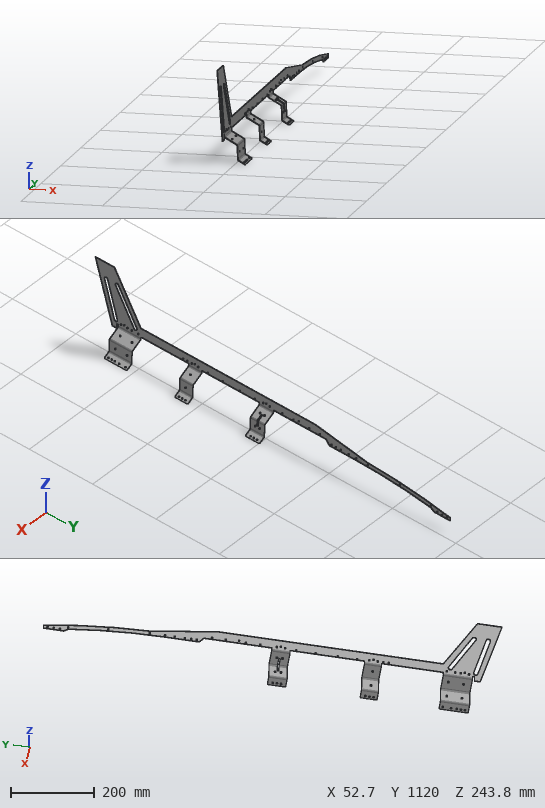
import cadquery as cq
import math


SHEET = 2.0
BEND_INNER_RADIUS = 2.0
BEND_OUTER_RADIUS = BEND_INNER_RADIUS + SHEET

LENGTH = 1120.0
HEIGHT = 243.8
BRACKET_REACH = 52.72
BRACKET_DEPTH = 73.0

RAIL_HEIGHT = 27.0
RAMP_TOP_Y = 694.0
RAMP_ANGLE = math.radians(9.9)
PAD_BOTTOM_Z = -13.9
PAD_REAR_Y = 739.5
PAD_SLOPE_LENGTH = 11.5
NOSE_BAND = 12.4
NOSE_OUTER_RADIUS = 1500.0
NOSE_INNER_RADIUS = NOSE_OUTER_RADIUS - NOSE_BAND
NOSE_CENTRE_Y = 823.0
NOSE_CENTRE_Z = PAD_BOTTOM_Z - NOSE_INNER_RADIUS
NOSE_BOTTOM_Z = -40.5
NOSE_PAD_REAR_Y = 1070.0
NOSE_PAD_SLOPE_LENGTH = 11.0

TAIL_TOP_Z = HEIGHT - BRACKET_DEPTH
TAIL_TOP_WIDTH = 60.0
LEADING_ANGLE = math.radians(30.2)
TRAILING_ANGLE = math.radians(16.2)
FOOT_BOTTOM_Z = -13.5
FOOT_FRONT_Y = 67.8
TAIL_SLOT_WIDTH = 10.0
LEADING_SLOT_ANGLE = math.radians(29.5)
LEADING_SLOT_MID_Y = 97.3
LEADING_SLOT_Z = (17.0, 120.0)
TRAILING_SLOT_ANGLE = math.radians(15.7)
TRAILING_SLOT_MID_Y = 49.1
TRAILING_SLOT_Z = (11.0, 121.0)

UPPER_SLOPE = math.radians(29.5)
MIDDLE_SLOPE = math.radians(87.4)
LOWER_SLOPE = math.radians(30.0)
MIDDLE_LENGTH = 36.7
LOWER_LENGTH = 21.0
BRACKET_CORNER_RADIUS = 3.0
REAR_BRACKET_ROOT_RADIUS = 3.0
STRIP_ROOT_Z = 1.0
FRONT_BRACKET_Y = (517.5, 562.5)
MIDDLE_BRACKET_Y = (294.5, 336.0)
REAR_BRACKET_Y = (72.0, 143.5)
BRACKETS_Y = (FRONT_BRACKET_Y, MIDDLE_BRACKET_Y, REAR_BRACKET_Y)

BOLT_DIAMETER = 3.5
PIN_DIAMETER = 3.0
FLANGE_HOLE_DIAMETER = 4.0
EDGE_HOLE_DIAMETER = 3.0
BOLT_Z = 5.0
RAISED_BOLT_Z = 8.4
EDGE_HOLE_Z = 3.0
PAD_HOLE_Z = -8.4
NOSE_HOLE_Z = -35.4
TRIPLE_SPACING = 10.1
TRIPLE_CENTRES_Y = (540.0, 314.0, 91.0)
REAR_EXTRA_BOLTS_Y = (114.7, 135.0)
RAIL_BOLTS_Y = (708.4, 674.7, 590.4, 290.0, 276.6)
RAIL_PINS_YZ = ((642.2, 8.4), (625.5, 5.0))
EDGE_HOLES_Y = (502.7, 455.4, 401.4, 354.2)
PAD_BOLTS_Y = (860.2, 823.0, 799.5, 759.0, 745.5)
PAD_PIN_Y = 774.5
NOSE_BOLTS_Y = (1109.9, 1079.5)
NOSE_PIN_Y = 1095.0
BAND_BOLT_YZ = (961.5, -15.2)
BAND_PIN_YZ = (1059.3, -27.0)
LOWER_HOLE_FROM_END = 6.0
MIDDLE_HOLE_FROM_BEND = 18.8
UPPER_HOLE_FROM_BEND = 17.5
FRONT_HOLE_PAIR_Y = (533.0, 547.0)
MIDDLE_HOLE_Y = 313.0
REAR_HOLES_Y = (91.0, 128.2)
BRACKET_SLOT_WIDTH = 3.5
BRACKET_SLOT_Y = 540.0
BRACKET_SLOT_UPPER = 20.0
BRACKET_SLOT_MIDDLE = 14.5


def heading(slope):
    """Unit direction in XZ that falls by the given angle below +X."""
    return (math.cos(slope), -math.sin(slope))


def along(point, slope, distance):
    """Point reached from the given XZ point after a distance down the slope."""
    direction = heading(slope)
    return (point[0] + distance * direction[0], point[1] + distance * direction[1])


BRACKET_END = (BRACKET_REACH - SHEET * math.sin(LOWER_SLOPE), -BRACKET_DEPTH)
LOWER_BEND = along(BRACKET_END, LOWER_SLOPE, -LOWER_LENGTH)
MIDDLE_BEND = along(LOWER_BEND, MIDDLE_SLOPE, -MIDDLE_LENGTH)
UPPER_LENGTH = MIDDLE_BEND[0] / math.cos(UPPER_SLOPE)
UPPER_BEND = along(MIDDLE_BEND, UPPER_SLOPE, -UPPER_LENGTH)


def nose_arc_z(radius, y):
    """Height of a nose arc of the given radius at y."""
    return NOSE_CENTRE_Z + math.sqrt(radius**2 - (y - NOSE_CENTRE_Y) ** 2)


def ramp_foot():
    """Point where the straight ramp runs into the outer nose arc."""
    dy = RAMP_TOP_Y - NOSE_CENTRE_Y
    dz = RAIL_HEIGHT - NOSE_CENTRE_Z
    half_b = dy * math.cos(RAMP_ANGLE) - dz * math.sin(RAMP_ANGLE)
    c = dy**2 + dz**2 - NOSE_OUTER_RADIUS**2
    distance = -half_b - math.sqrt(half_b**2 - c)
    return (
        RAMP_TOP_Y + distance * math.cos(RAMP_ANGLE),
        RAIL_HEIGHT - distance * math.sin(RAMP_ANGLE),
    )


def leading_edge_y(z):
    """Position of the tail fin's leading edge at height z."""
    return TAIL_TOP_WIDTH + (TAIL_TOP_Z - z) * math.tan(LEADING_ANGLE)


def trailing_edge_y(z):
    """Position of the tail fin's trailing edge at height z."""
    return (TAIL_TOP_Z - z) * math.tan(TRAILING_ANGLE)


def flat_sheet():
    """Rail, nose and tail fin with its foot, all in one plane."""
    ramp_foot_y, ramp_foot_z = ramp_foot()
    outer_mid_y = (ramp_foot_y + LENGTH) / 2
    inner_mid_y = (NOSE_CENTRE_Y + NOSE_PAD_REAR_Y) / 2
    nose_slope_y = NOSE_PAD_REAR_Y - NOSE_PAD_SLOPE_LENGTH
    outline = (
        cq.Workplane("YZ")
        .moveTo(0, TAIL_TOP_Z)
        .lineTo(TAIL_TOP_WIDTH, TAIL_TOP_Z)
        .lineTo(leading_edge_y(RAIL_HEIGHT), RAIL_HEIGHT)
        .lineTo(RAMP_TOP_Y, RAIL_HEIGHT)
        .lineTo(ramp_foot_y, ramp_foot_z)
        .threePointArc(
            (outer_mid_y, nose_arc_z(NOSE_OUTER_RADIUS, outer_mid_y)),
            (LENGTH, nose_arc_z(NOSE_OUTER_RADIUS, LENGTH)),
        )
        .lineTo(LENGTH, NOSE_BOTTOM_Z)
        .lineTo(NOSE_PAD_REAR_Y, NOSE_BOTTOM_Z)
        .lineTo(nose_slope_y, nose_arc_z(NOSE_INNER_RADIUS, nose_slope_y))
        .threePointArc(
            (inner_mid_y, nose_arc_z(NOSE_INNER_RADIUS, inner_mid_y)),
            (NOSE_CENTRE_Y, PAD_BOTTOM_Z),
        )
        .lineTo(PAD_REAR_Y, PAD_BOTTOM_Z)
        .lineTo(PAD_REAR_Y - PAD_SLOPE_LENGTH, 0)
        .lineTo(FOOT_FRONT_Y, 0)
        .lineTo(FOOT_FRONT_Y, FOOT_BOTTOM_Z)
        .lineTo(trailing_edge_y(FOOT_BOTTOM_Z), FOOT_BOTTOM_Z)
    )
    return outline.close().extrude(SHEET)


def mitre(corner, slope_in, slope_out):
    """Inner-side corner lying one sheet thickness off both faces that meet at a corner."""
    bisector = (slope_in + slope_out) / 2
    reach = SHEET / math.cos((slope_in - slope_out) / 2)
    return (corner[0] + reach * math.sin(bisector), corner[1] + reach * math.cos(bisector))


def folded_strip(y_range):
    """Sheet strip folded into the bracket profile over a range of Y."""
    slopes = (math.pi / 2, UPPER_SLOPE, MIDDLE_SLOPE, LOWER_SLOPE)
    corners = (UPPER_BEND, MIDDLE_BEND, LOWER_BEND)
    top_corners = [mitre(p, slopes[i], slopes[i + 1]) for i, p in enumerate(corners)]
    end_top = (BRACKET_REACH, BRACKET_END[1] + SHEET * math.cos(LOWER_SLOPE))
    underside = [(0, STRIP_ROOT_Z), *corners, BRACKET_END]
    topside = [end_top, *reversed(top_corners), (SHEET, STRIP_ROOT_Z)]
    y_low, y_high = y_range
    strip = (
        cq.Workplane("XZ", origin=(0, y_high, 0))
        .polyline(underside + topside)
        .close()
        .extrude(y_high - y_low)
    )
    y_mid = (y_low + y_high) / 2
    radii = (BEND_OUTER_RADIUS, BEND_INNER_RADIUS, BEND_OUTER_RADIUS)
    for under, top, radius in zip(corners, top_corners, radii):
        top_radius = BEND_OUTER_RADIUS + BEND_INNER_RADIUS - radius
        for (x, z), edge_radius in ((under, radius), (top, top_radius)):
            bend_edge = cq.selectors.NearestToPointSelector((x, y_mid, z))
            strip = strip.edges("|Y").edges(bend_edge).fillet(edge_radius)
    return strip


def bracket(y_range):
    """Folded bracket with rounded corners at its free end."""
    return folded_strip(y_range).faces(">X").edges("not |Y").fillet(BRACKET_CORNER_RADIUS)


def tail_slot(mid_y, angle, z_range):
    """Round-ended slot leaning at an angle from vertical, between two end-centre heights."""
    z_low, z_high = z_range
    length = (z_high - z_low) / math.cos(angle) + TAIL_SLOT_WIDTH
    return (
        cq.Workplane("YZ")
        .center(mid_y, (z_low + z_high) / 2)
        .slot2D(length, TAIL_SLOT_WIDTH, 90 + math.degrees(angle))
        .extrude(SHEET)
    )


def sheet_holes(places, diameter):
    """Holes through the flat sheet at (y, z) places."""
    return cq.Workplane("YZ").pushPoints(places).circle(diameter / 2).extrude(SHEET)


def flange_holes(start, slope, distance, places_y, diameter):
    """Holes square through a flange, at a distance down it from its upper bend."""
    x, z = along(start, slope, distance)
    normal = (math.sin(slope), 0, math.cos(slope))
    plane = cq.Plane(origin=(x, 0, z), xDir=(0, 1, 0), normal=normal)
    places = [(y, 0) for y in places_y]
    return cq.Workplane(plane).pushPoints(places).circle(diameter / 2).extrude(SHEET)


def bracket_slot():
    """Square-ended slot through the front bracket, running down across its middle bend."""
    x_start, z_start = along(UPPER_BEND, UPPER_SLOPE, BRACKET_SLOT_UPPER)
    z_top = z_start + 2 * SHEET
    z_bottom = MIDDLE_BEND[1] - BRACKET_SLOT_MIDDLE
    return cq.Workplane(origin=(x_start, BRACKET_SLOT_Y, z_bottom)).box(
        BRACKET_REACH - x_start, BRACKET_SLOT_WIDTH, z_top - z_bottom, centered=(False, True, False)
    )


def triple_places():
    """Places of the three-hole groups: the middle hole of each sits higher than its neighbours."""
    places = []
    for y in TRIPLE_CENTRES_Y:
        places += [(y - TRIPLE_SPACING, BOLT_Z), (y, RAISED_BOLT_Z), (y + TRIPLE_SPACING, BOLT_Z)]
    return places


part = flat_sheet()
for y_range in BRACKETS_Y:
    part = part.union(bracket(y_range))
root_corner = cq.selectors.NearestToPointSelector((SHEET / 2, REAR_BRACKET_Y[1], 0))
part = part.edges("|X").edges(root_corner).fillet(REAR_BRACKET_ROOT_RADIUS)

part = part.cut(tail_slot(LEADING_SLOT_MID_Y, LEADING_SLOT_ANGLE, LEADING_SLOT_Z))
part = part.cut(tail_slot(TRAILING_SLOT_MID_Y, TRAILING_SLOT_ANGLE, TRAILING_SLOT_Z))

bolt_places = triple_places()
bolt_places += [(y, BOLT_Z) for y in RAIL_BOLTS_Y + REAR_EXTRA_BOLTS_Y]
bolt_places += [(y, PAD_HOLE_Z) for y in PAD_BOLTS_Y]
bolt_places += [(y, NOSE_HOLE_Z) for y in NOSE_BOLTS_Y]
bolt_places.append(BAND_BOLT_YZ)
part = part.cut(sheet_holes(bolt_places, BOLT_DIAMETER))

pin_places = [*RAIL_PINS_YZ, (PAD_PIN_Y, PAD_HOLE_Z), (NOSE_PIN_Y, NOSE_HOLE_Z), BAND_PIN_YZ]
part = part.cut(sheet_holes(pin_places, PIN_DIAMETER))
part = part.cut(sheet_holes([(y, EDGE_HOLE_Z) for y in EDGE_HOLES_Y], EDGE_HOLE_DIAMETER))

paired_holes_y = FRONT_HOLE_PAIR_Y + (MIDDLE_HOLE_Y,) + REAR_HOLES_Y
lower_holes_y = [y for y, _ in triple_places()] + list(REAR_EXTRA_BOLTS_Y)
for start, slope, distance, places_y, diameter in (
    (UPPER_BEND, UPPER_SLOPE, UPPER_HOLE_FROM_BEND, paired_holes_y, FLANGE_HOLE_DIAMETER),
    (MIDDLE_BEND, MIDDLE_SLOPE, MIDDLE_HOLE_FROM_BEND, paired_holes_y, FLANGE_HOLE_DIAMETER),
    (LOWER_BEND, LOWER_SLOPE, LOWER_LENGTH - LOWER_HOLE_FROM_END, lower_holes_y, BOLT_DIAMETER),
):
    part = part.cut(flange_holes(start, slope, distance, places_y, diameter))

result = part.cut(bracket_slot())